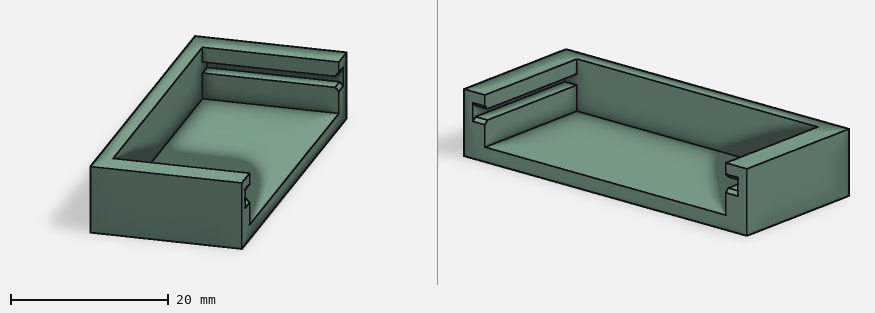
import cadquery as cq

LENGTH_X = 20.0
WIDTH_Y = 47.0
HEIGHT_Z = 9.0

BACK_WALL = 2.0
SIDE_WALL = 3.5
FLOOR = 2.0

GROOVE_HEIGHT = 1.5
GROOVE_BOTTOM_Z = 5.5
GROOVE_DEPTH = 2.0
MOUTH_CHAMFER = 0.5

INNER_WIDTH = WIDTH_Y - 2 * SIDE_WALL
INNER_LENGTH = LENGTH_X - BACK_WALL
GROOVED_WIDTH = INNER_WIDTH + 2 * GROOVE_DEPTH
GROOVE_TOP_Z = GROOVE_BOTTOM_Z + GROOVE_HEIGHT


def make_block():
    """Outer block starting at X = 0, centred in Y and resting on Z = 0."""
    return cq.Workplane("XY").box(LENGTH_X, WIDTH_Y, HEIGHT_Z, centered=(False, True, False))


def make_pocket():
    """Space above the floor, running out through the top and the +X end."""
    return (
        cq.Workplane("XY", origin=(BACK_WALL, 0, FLOOR))
        .box(INNER_LENGTH, INNER_WIDTH, HEIGHT_Z - FLOOR, centered=(False, True, False))
    )


def make_groove_space():
    """Slab that cuts both side grooves, widened by a 45 degree chamfer at the +X mouth."""
    mouth_start_x = LENGTH_X - MOUTH_CHAMFER
    profile = (
        cq.Workplane("XZ", origin=(0, GROOVED_WIDTH / 2, 0))
        .moveTo(BACK_WALL, GROOVE_BOTTOM_Z)
        .lineTo(mouth_start_x, GROOVE_BOTTOM_Z)
        .lineTo(LENGTH_X, GROOVE_BOTTOM_Z - MOUTH_CHAMFER)
        .lineTo(LENGTH_X, GROOVE_TOP_Z + MOUTH_CHAMFER)
        .lineTo(mouth_start_x, GROOVE_TOP_Z)
        .lineTo(BACK_WALL, GROOVE_TOP_Z)
        .close()
    )
    return profile.extrude(GROOVED_WIDTH)


result = make_block().cut(make_pocket()).cut(make_groove_space())